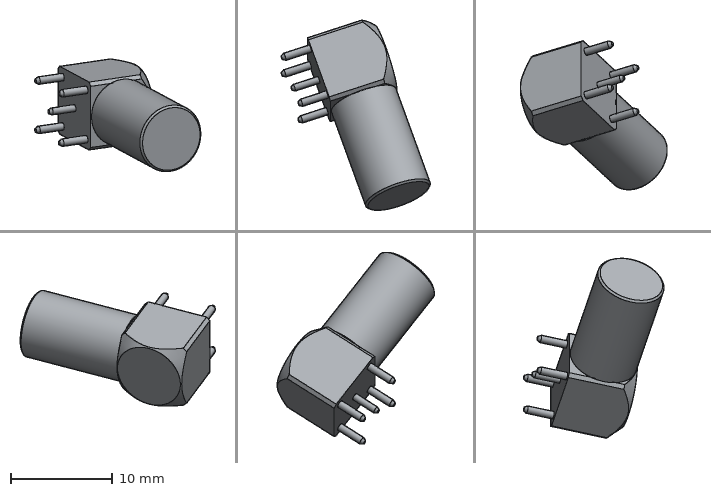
import cadquery as cq


HOUSING_SIZE = 7.0
EDGE_CHAMFER = 0.35
HALF_HOUSING = HOUSING_SIZE / 2
BACK_FACE_RADIUS = 3.4

BARREL_DIAMETER = 6.8
OVERALL_LENGTH = 17.55
BARREL_LENGTH = OVERALL_LENGTH - HOUSING_SIZE
BARREL_CHAMFER = 0.2

LEG_PITCH = 5.08
GROUND_LEG_DIAMETER = 0.76
GROUND_LEG_LENGTH = 3.0
GROUND_TIP_DIAMETER = 0.4
GROUND_TIP_LENGTH = 0.33
SIGNAL_LEG_DIAMETER = 0.7
SIGNAL_LEG_LENGTH = 2.85
SIGNAL_TIP_DIAMETER = 0.4
SIGNAL_TIP_LENGTH = 0.3


def make_housing():
    """Cube with chamfered Y edges, its +Y end turned down by a cone about the Y axis."""
    cube = cq.Workplane("XY").box(HOUSING_SIZE, HOUSING_SIZE, HOUSING_SIZE)
    cube = cube.edges("|Y").chamfer(EDGE_CHAMFER)
    cone_base_radius = BACK_FACE_RADIUS + HOUSING_SIZE
    cone = (
        cq.Workplane("XY")
        .moveTo(0, -HALF_HOUSING)
        .lineTo(cone_base_radius, -HALF_HOUSING)
        .lineTo(BACK_FACE_RADIUS, HALF_HOUSING)
        .lineTo(0, HALF_HOUSING)
        .close()
        .revolve(360, (0, 0, 0), (0, 1, 0))
    )
    return cube.intersect(cone)


def make_barrel():
    """Round barrel standing on the +X face of the housing, with a chamfered outer end.

    It is wider than the flat between the edge chamfers, so its inner end overhangs them.
    """
    return (
        cq.Workplane("YZ", origin=(HALF_HOUSING, 0, 0))
        .circle(BARREL_DIAMETER / 2)
        .extrude(BARREL_LENGTH)
        .faces(">X")
        .edges()
        .chamfer(BARREL_CHAMFER)
    )


def make_leg(x, z, diameter, length, tip_diameter, tip_length):
    """Round leg with a conical tip, standing on the -Y face of the housing."""
    shoulder = length - tip_length
    return (
        cq.Workplane("XY")
        .lineTo(diameter / 2, 0)
        .lineTo(diameter / 2, -shoulder)
        .lineTo(tip_diameter / 2, -length)
        .lineTo(0, -length)
        .close()
        .revolve(360, (0, 0, 0), (0, 1, 0))
        .translate((x, -HALF_HOUSING, z))
    )


result = make_housing().union(make_barrel())

result = result.union(
    make_leg(0, 0, SIGNAL_LEG_DIAMETER, SIGNAL_LEG_LENGTH, SIGNAL_TIP_DIAMETER, SIGNAL_TIP_LENGTH)
)

for x in (-LEG_PITCH / 2, LEG_PITCH / 2):
    for z in (-LEG_PITCH / 2, LEG_PITCH / 2):
        result = result.union(
            make_leg(x, z, GROUND_LEG_DIAMETER, GROUND_LEG_LENGTH, GROUND_TIP_DIAMETER, GROUND_TIP_LENGTH)
        )